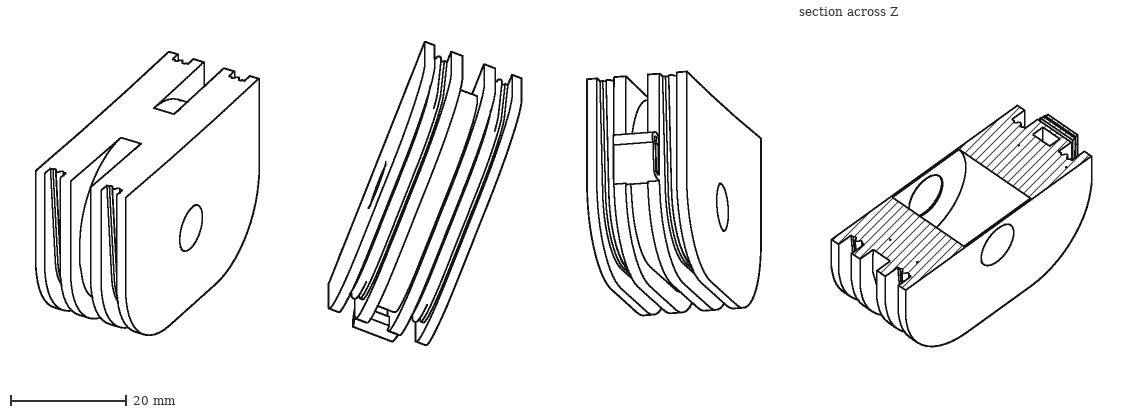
import cadquery as cq
import math

BODY_WIDTH = 18.0
BODY_HALF_LENGTH = 23.11
BODY_HEIGHT = 33.87
TOP_SAG = 0.3
TOP_EDGE_RADIUS = 0.3

CORNER_RADIUS = 15.0
CORNER_Y = 8.02
CORNER_Z = CORNER_RADIUS
OUTER_ARC_START = 9.0
OUTER_BEND_Z = 14.4
GROOVE_DEPTH_BELOW = 3.55
FLOOR_RADIUS = CORNER_RADIUS - GROOVE_DEPTH_BELOW

MOUTH_RADIUS = 4.15
MOUTH_Z = 15.5
MOUTH_EDGE_RADIUS = 0.3
CORE_RADIUS = 9.9
END_WALL = 0.4
CORE_LENGTH = BODY_WIDTH - 2 * END_WALL

SLOT_WIDTH = 4.0
SLOT_FLOOR_HALF_LENGTH = 19.94
SLOT_SHOULDER_Z = 19.6
SLOT_ARC_START = 10.8
SLOT_BEND_Z = 15.55
SLOT_CROWN_Y = 5.69

GROOVE_WIDTH = 3.1
INNER_PLATE = 2.1
GROOVE_X = SLOT_WIDTH / 2 + INNER_PLATE + GROOVE_WIDTH / 2
GROOVE_TOP_DEPTH = 2.0
RIDGE_HALF_WIDTH = 0.44
RIDGE_HEIGHT = 0.42
FURROW_OUTER = 1.04
FURROW_DEPTH = 0.25

CLIP_BASE_WIDTH = SLOT_WIDTH + 2 * INNER_PLATE
CLIP_TIP_WIDTH = 7.05
CLIP_TIP_Y = 25.56
LOOP_RADIUS = 1.13
LOOP_Y = CLIP_TIP_Y - LOOP_RADIUS
LOOP_Z = 21.82
EYE_RADIUS = 0.4
EYE_POINT_Z = 20.86
LEGS_TOP_Z = 20.9
LEGS_OUTER_Y = 25.2
LEGS_INNER_Y = 23.58
LEGS_LEAN = 0.12
HEEL_TOP_Z = 16.4
HEEL_MIDDLE = (24.5, 15.15)
HEEL_END_Z = 14.55
SLIT_WIDTH = 0.1
SLIT_BEND = (24.2, 15.95)
SLIT_END_Z = 15.6
CLIP_PAD_HEIGHT = 0.7
CLIP_PAD_Z = 21.6
ANCHOR_THICKNESS = 0.85
ANCHOR_TOP_Z = 22.12

CUT_MARGIN = 5.0


def corner_point(radius, angle):
    """Point on the +Y lower corner arc, with the angle in degrees below horizontal."""
    turn = math.radians(angle)
    return CORNER_Y + radius * math.cos(turn), CORNER_Z - radius * math.sin(turn)


def mirrored(point):
    return -point[0], point[1]


def lower_path(sketch, radius, angle):
    """From the +Y end of the corner arc, around the bottom, to its -Y end."""
    bottom_z = CORNER_Z - radius
    middle = corner_point(radius, (angle + 90) / 2)
    return (
        sketch.threePointArc(middle, (CORNER_Y, bottom_z))
        .lineTo(-CORNER_Y, bottom_z)
        .threePointArc(mirrored(middle), mirrored(corner_point(radius, angle)))
    )


def extrude_centred(sketch, width):
    return sketch.close().extrude(width / 2, both=True)


def body():
    bend = (BODY_HALF_LENGTH, OUTER_BEND_Z)
    round_y = BODY_HALF_LENGTH - TOP_EDGE_RADIUS
    round_z = BODY_HEIGHT - TOP_EDGE_RADIUS
    diagonal = TOP_EDGE_RADIUS * math.sqrt(0.5)
    top_end = (round_y, BODY_HEIGHT)
    round_middle = (round_y + diagonal, round_z + diagonal)
    side_top = (BODY_HALF_LENGTH, round_z)
    sketch = (
        cq.Workplane("YZ")
        .moveTo(*top_end)
        .threePointArc(round_middle, side_top)
        .lineTo(*bend)
        .lineTo(*corner_point(CORNER_RADIUS, OUTER_ARC_START))
    )
    sketch = (
        lower_path(sketch, CORNER_RADIUS, OUTER_ARC_START)
        .lineTo(*mirrored(bend))
        .lineTo(*mirrored(side_top))
        .threePointArc(mirrored(round_middle), mirrored(top_end))
        .threePointArc((0, BODY_HEIGHT - TOP_SAG), top_end)
    )
    return extrude_centred(sketch, BODY_WIDTH)


def surround(width, x=0.0):
    """Block of the given width that is larger than the body all around."""
    length = 2 * (BODY_HALF_LENGTH + CUT_MARGIN)
    height = BODY_HEIGHT + 2 * CUT_MARGIN
    return cq.Workplane("XY").box(width, length, height).translate((x, 0, BODY_HEIGHT / 2))


def slot_cutter():
    shoulder = (SLOT_FLOOR_HALF_LENGTH, SLOT_SHOULDER_Z)
    bend = (SLOT_FLOOR_HALF_LENGTH, SLOT_BEND_Z)
    crown_z = BODY_HEIGHT - TOP_SAG
    crown = (SLOT_CROWN_Y, crown_z)
    run = SLOT_FLOOR_HALF_LENGTH - SLOT_CROWN_Y
    rise = crown_z - SLOT_SHOULDER_Z
    arc_middle = (SLOT_CROWN_Y + run * math.sqrt(0.5), SLOT_SHOULDER_Z + rise * math.sqrt(0.5))
    above = (SLOT_CROWN_Y, BODY_HEIGHT + 2 * CUT_MARGIN)
    sketch = (
        cq.Workplane("YZ")
        .moveTo(*above)
        .lineTo(*crown)
        .threePointArc(arc_middle, shoulder)
        .lineTo(*bend)
        .lineTo(*corner_point(FLOOR_RADIUS, SLOT_ARC_START))
    )
    sketch = (
        lower_path(sketch, FLOOR_RADIUS, SLOT_ARC_START)
        .lineTo(*mirrored(bend))
        .lineTo(*mirrored(shoulder))
        .threePointArc(mirrored(arc_middle), mirrored(crown))
        .lineTo(*mirrored(above))
    )
    return surround(SLOT_WIDTH).cut(extrude_centred(sketch, SLOT_WIDTH))


def floor_taper_angle():
    """Lean of the groove side floor, tangent to the floor arc and ending at the top edge."""
    run = BODY_HALF_LENGTH - GROOVE_TOP_DEPTH - CORNER_Y
    rise = BODY_HEIGHT - CORNER_Z
    reach = math.hypot(run, rise)
    return math.degrees(math.acos(FLOOR_RADIUS / reach) - math.atan2(rise, run))


def floor_path(angle):
    """Centre of the groove floor, down the +Y side, around the bottom and up the -Y side."""
    start = path_start(angle)
    sketch = cq.Workplane("YZ").moveTo(*start).lineTo(*corner_point(FLOOR_RADIUS, angle))
    return lower_path(sketch, FLOOR_RADIUS, angle).lineTo(*mirrored(start))


def path_start(angle):
    """Point on the tapered side floor, above the top of the body."""
    start_y, start_z = corner_point(FLOOR_RADIUS, angle)
    top_z = BODY_HEIGHT + CUT_MARGIN
    return start_y + (top_z - start_z) * math.tan(math.radians(angle)), top_z


def swept_round(angle, radius, across, height):
    """Round bar following the groove floor, shifted across it and raised above it."""
    start_y, start_z = path_start(angle)
    turn = math.radians(angle)
    plane = cq.Plane(
        origin=(0, start_y, start_z),
        xDir=(-1, 0, 0),
        normal=(0, -math.sin(turn), -math.cos(turn)),
    )
    section = cq.Workplane(plane).center(across, height).circle(radius)
    return section.sweep(floor_path(angle))


def arc_radius(half_width, height):
    return (half_width**2 + height**2) / (2 * height)


def cut_groove(part, blank, x):
    angle = floor_taper_angle()
    core = extrude_centred(floor_path(angle), GROOVE_WIDTH).translate((x, 0, 0))
    part = part.cut(surround(GROOVE_WIDTH, x).cut(core))

    furrow_half_width = (FURROW_OUTER - RIDGE_HALF_WIDTH) / 2
    furrow_x = (FURROW_OUTER + RIDGE_HALF_WIDTH) / 2
    furrow_radius = arc_radius(furrow_half_width, FURROW_DEPTH)
    for side in (-1, 1):
        furrow = swept_round(angle, furrow_radius, side * furrow_x, furrow_radius - FURROW_DEPTH)
        part = part.cut(furrow.translate((x, 0, 0)))

    ridge_radius = arc_radius(RIDGE_HALF_WIDTH, RIDGE_HEIGHT)
    ridge = swept_round(angle, ridge_radius, 0, RIDGE_HEIGHT - ridge_radius)
    return part.union(ridge.translate((x, 0, 0)).intersect(blank))


def core_cutter():
    """Core and both rounded mouths, turned about the cross axis."""
    face_x = BODY_WIDTH / 2
    round_x = face_x - MOUTH_EDGE_RADIUS
    rim_radius = MOUTH_RADIUS + MOUTH_EDGE_RADIUS
    diagonal = MOUTH_EDGE_RADIUS * math.sqrt(0.5)
    edge_middle = (round_x + diagonal, rim_radius - diagonal)
    return (
        cq.Workplane("XY")
        .moveTo(-face_x, 0)
        .lineTo(face_x, 0)
        .lineTo(face_x, rim_radius)
        .threePointArc(edge_middle, (round_x, MOUTH_RADIUS))
        .lineTo(CORE_LENGTH / 2, MOUTH_RADIUS)
        .lineTo(CORE_LENGTH / 2, CORE_RADIUS)
        .lineTo(-CORE_LENGTH / 2, CORE_RADIUS)
        .lineTo(-CORE_LENGTH / 2, MOUTH_RADIUS)
        .lineTo(-round_x, MOUTH_RADIUS)
        .threePointArc(mirrored(edge_middle), (-face_x, rim_radius))
        .close()
        .revolve(360, (0, 0, 0), (1, 0, 0))
        .translate((0, 0, MOUTH_Z))
    )


def clip_profile():
    """Folded sheet seen along X: rolled loop, two close legs and a heel turning to the body."""
    loop = cq.Workplane("YZ").center(LOOP_Y, LOOP_Z).circle(LOOP_RADIUS)
    loop = loop.extrude(CLIP_BASE_WIDTH / 2, both=True)
    legs = (
        cq.Workplane("YZ")
        .moveTo(LEGS_INNER_Y, LOOP_Z)
        .lineTo(LEGS_OUTER_Y, LOOP_Z)
        .lineTo(LEGS_OUTER_Y, LEGS_TOP_Z)
        .lineTo(LEGS_OUTER_Y - LEGS_LEAN, HEEL_TOP_Z)
        .threePointArc(HEEL_MIDDLE, (BODY_HALF_LENGTH, HEEL_END_Z))
        .lineTo(BODY_HALF_LENGTH, SLIT_END_Z)
        .lineTo(LEGS_INNER_Y - LEGS_LEAN, SLIT_END_Z)
        .lineTo(LEGS_INNER_Y - LEGS_LEAN, HEEL_TOP_Z)
        .lineTo(LEGS_INNER_Y, LEGS_TOP_Z)
    )
    return loop.union(extrude_centred(legs, CLIP_BASE_WIDTH))


def clip_gap():
    """Eye of the loop, running to a point, and the slit between the two legs."""
    eye = cq.Workplane("YZ").center(LOOP_Y, LOOP_Z).circle(EYE_RADIUS)
    eye = eye.extrude(CLIP_BASE_WIDTH / 2, both=True)
    tip = (
        cq.Workplane("YZ")
        .moveTo(LOOP_Y - EYE_RADIUS, LOOP_Z)
        .lineTo(LOOP_Y + EYE_RADIUS, LOOP_Z)
        .lineTo(LOOP_Y + SLIT_WIDTH / 2, EYE_POINT_Z)
        .lineTo(LOOP_Y - SLIT_WIDTH / 2, EYE_POINT_Z)
    )
    bend_y, bend_z = SLIT_BEND
    slit = (
        cq.Workplane("YZ")
        .moveTo(LOOP_Y + SLIT_WIDTH / 2, LOOP_Z)
        .lineTo(LOOP_Y + SLIT_WIDTH / 2, EYE_POINT_Z)
        .lineTo(bend_y + SLIT_WIDTH / 2, bend_z)
        .lineTo(LEGS_INNER_Y, SLIT_END_Z)
        .lineTo(BODY_HALF_LENGTH, SLIT_END_Z)
        .lineTo(BODY_HALF_LENGTH, SLIT_END_Z + SLIT_WIDTH)
        .lineTo(LEGS_INNER_Y, SLIT_END_Z + SLIT_WIDTH)
        .lineTo(bend_y - SLIT_WIDTH / 2, bend_z + SLIT_WIDTH)
        .lineTo(LOOP_Y - SLIT_WIDTH / 2, EYE_POINT_Z)
        .lineTo(LOOP_Y - SLIT_WIDTH / 2, LOOP_Z)
    )
    gap = eye.union(extrude_centred(tip, CLIP_BASE_WIDTH))
    return gap.union(extrude_centred(slit, CLIP_BASE_WIDTH))


def clip():
    taper = (
        cq.Workplane("XY")
        .moveTo(-CLIP_BASE_WIDTH / 2, BODY_HALF_LENGTH)
        .lineTo(CLIP_BASE_WIDTH / 2, BODY_HALF_LENGTH)
        .lineTo(CLIP_TIP_WIDTH / 2, CLIP_TIP_Y)
        .lineTo(-CLIP_TIP_WIDTH / 2, CLIP_TIP_Y)
        .close()
        .extrude(BODY_HEIGHT)
    )
    return clip_profile().cut(clip_gap()).intersect(taper)


def clip_anchor():
    """Plate across the slot mouth, with a pad reaching the loop."""
    plate_y = BODY_HALF_LENGTH - ANCHOR_THICKNESS / 2
    plate_height = ANCHOR_TOP_Z - HEEL_END_Z
    plate = cq.Workplane("XY").box(SLOT_WIDTH, ANCHOR_THICKNESS, plate_height)
    plate = plate.translate((0, plate_y, HEEL_END_Z + plate_height / 2))
    pad_length = LEGS_INNER_Y - BODY_HALF_LENGTH
    pad = cq.Workplane("XY").box(SLOT_WIDTH, pad_length, CLIP_PAD_HEIGHT)
    pad = pad.translate((0, BODY_HALF_LENGTH + pad_length / 2, CLIP_PAD_Z))
    return plate.union(pad)


blank = body()
block = blank.cut(slot_cutter())
for groove_x in (-GROOVE_X, GROOVE_X):
    block = cut_groove(block, blank, groove_x)
block = block.cut(core_cutter())
result = block.union(clip_anchor()).union(clip())